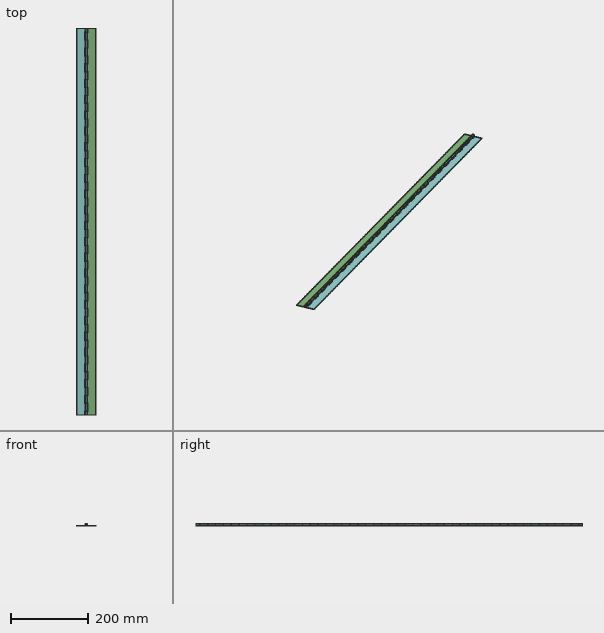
import cadquery as cq

hinge_length = 1000.0
open_width = 50.0
hinge_height = 6.69

sheet_thickness = 1.6
barrel_radius = hinge_height / 2
pin_radius = barrel_radius - sheet_thickness

joint_count = 49
knuckle_pitch = hinge_length / joint_count
knuckle_gap = 0.5
notch_clearance = 0.6

hinge_end = hinge_length / 2
leaf_edge = open_width / 2
leaf_bottom = -barrel_radius
leaf_top = leaf_bottom + sheet_thickness
notch_half_width = barrel_radius + notch_clearance
knuckle_count = joint_count + 1


def round_bar(radius):
    """Full-length cylinder on the hinge axis."""
    return cq.Workplane("XZ", origin=(0, -hinge_end, 0)).circle(radius).extrude(-hinge_length)


def sheet(side):
    """Flat part of a leaf, tangent to the bottom of the barrel; side is -1 or +1 along X."""
    return (
        cq.Workplane("XZ", origin=(0, -hinge_end, 0))
        .moveTo(0, leaf_bottom)
        .lineTo(side * leaf_edge, leaf_bottom)
        .lineTo(side * leaf_edge, leaf_top)
        .lineTo(0, leaf_top)
        .close()
        .extrude(-hinge_length)
    )


def notch(position):
    """Cutter that clears the place of one knuckle of the opposite leaf, counted from the -Y end."""
    middle = position * knuckle_pitch - hinge_end
    start = max(middle - (knuckle_pitch + knuckle_gap) / 2, -hinge_end)
    end = min(middle + (knuckle_pitch + knuckle_gap) / 2, hinge_end)
    return (
        cq.Workplane("XY")
        .box(2 * notch_half_width, end - start, hinge_height)
        .translate((0, (start + end) / 2, 0))
    )


def make_leaf(side, first_notch):
    """Sheet with a rolled barrel, notched at every second knuckle place."""
    leaf = sheet(side).union(round_bar(barrel_radius)).cut(round_bar(pin_radius))
    for position in range(first_notch, knuckle_count, 2):
        leaf = leaf.cut(notch(position))
    return leaf.solids()


left_leaf = make_leaf(side=-1, first_notch=0)
right_leaf = make_leaf(side=1, first_notch=1)
pin = round_bar(pin_radius)

result = cq.Compound.makeCompound([left_leaf.val(), right_leaf.val(), pin.val()])